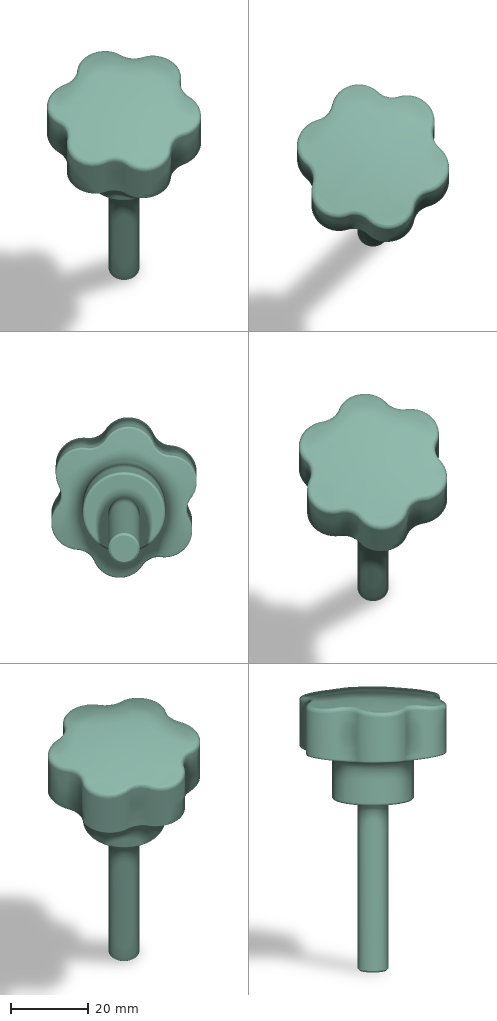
import cadquery as cq
import math

total_height = 72.85
hub_bottom = 44.95

lobe_count = 6
grip_diameter = 40.0
grip_radius = grip_diameter / 2
lobe_radius = 7.0
hollow_radius = 5.0
dome_radius = 100.0
head_thickness = 16.9
top_edge_radius = 1.0
bottom_edge_radius = 0.5

hub_diameter = 21.3
hub_edge_radius = 0.7
neck_fillet = 1.0
stud_diameter = 8.0
stud_chamfer = 0.5

overlap = 0.7
head_bottom = total_height - head_thickness
half_step = math.pi / lobe_count


def polar(radius, angle):
    return radius * math.cos(angle), radius * math.sin(angle)


def grip_outline():
    """Closed outline of alternating lobes and hollows, tangent to each other."""
    lobe_center = grip_radius - lobe_radius
    contact_offset = lobe_center * math.sin(half_step)
    center_distance = lobe_radius + hollow_radius
    hollow_center = lobe_center * math.cos(half_step) + math.sqrt(center_distance**2 - contact_offset**2)
    hollow_bottom = hollow_center - hollow_radius

    contact_y = contact_offset * hollow_radius / center_distance
    contact_x = hollow_center - math.sqrt(hollow_radius**2 - contact_y**2)
    contact_radius = math.hypot(contact_x, contact_y)
    contact_angle = math.atan2(contact_y, contact_x)

    start = polar(contact_radius, -contact_angle)
    outline = cq.Workplane("XY").workplane(offset=head_bottom - overlap).moveTo(*start)
    for index in range(lobe_count):
        hollow_angle = 2 * half_step * index
        lobe_angle = hollow_angle + half_step
        next_hollow_angle = hollow_angle + 2 * half_step
        outline = outline.threePointArc(
            polar(hollow_bottom, hollow_angle), polar(contact_radius, hollow_angle + contact_angle)
        )
        outline = outline.threePointArc(
            polar(grip_radius, lobe_angle), polar(contact_radius, next_hollow_angle - contact_angle)
        )
    return outline.close()


def grip_head():
    """Lobed prism bounded above and below by shallow spherical domes."""
    prism = grip_outline().extrude(head_thickness + 2 * overlap)
    rim = grip_radius + overlap
    rim_drop = dome_radius - math.sqrt(dome_radius**2 - rim**2)
    mid_rim = rim / 2
    mid_drop = dome_radius - math.sqrt(dome_radius**2 - mid_rim**2)
    lens = (
        cq.Workplane("XZ")
        .moveTo(0, head_bottom)
        .threePointArc((mid_rim, head_bottom + mid_drop), (rim, head_bottom + rim_drop))
        .lineTo(rim, total_height - rim_drop)
        .threePointArc((mid_rim, total_height - mid_drop), (0, total_height))
        .close()
        .revolve(360, (0, 0, 0), (0, 1, 0))
    )
    head = prism.intersect(lens)
    head = head.faces(">Z").edges().fillet(top_edge_radius)
    return head.faces("<Z").edges().fillet(bottom_edge_radius)


def hub():
    height = head_bottom + overlap - hub_bottom
    cylinder = cq.Workplane("XY").workplane(offset=hub_bottom).circle(hub_diameter / 2).extrude(height)
    return cylinder.faces("<Z").edges().fillet(hub_edge_radius)


def stud():
    cylinder = cq.Workplane("XY").circle(stud_diameter / 2).extrude(hub_bottom + overlap)
    return cylinder.faces("<Z").chamfer(stud_chamfer)


def neck_region():
    """Box around the circle where the hub meets the underside of the head."""
    half_width = hub_diameter / 2 + overlap
    return cq.selectors.BoxSelector(
        (-half_width, -half_width, head_bottom - overlap),
        (half_width, half_width, head_bottom + 2 * overlap),
        boundingbox=True,
    )


knob = grip_head().union(hub())
knob = knob.edges(neck_region()).fillet(neck_fillet)
result = knob.union(stud())